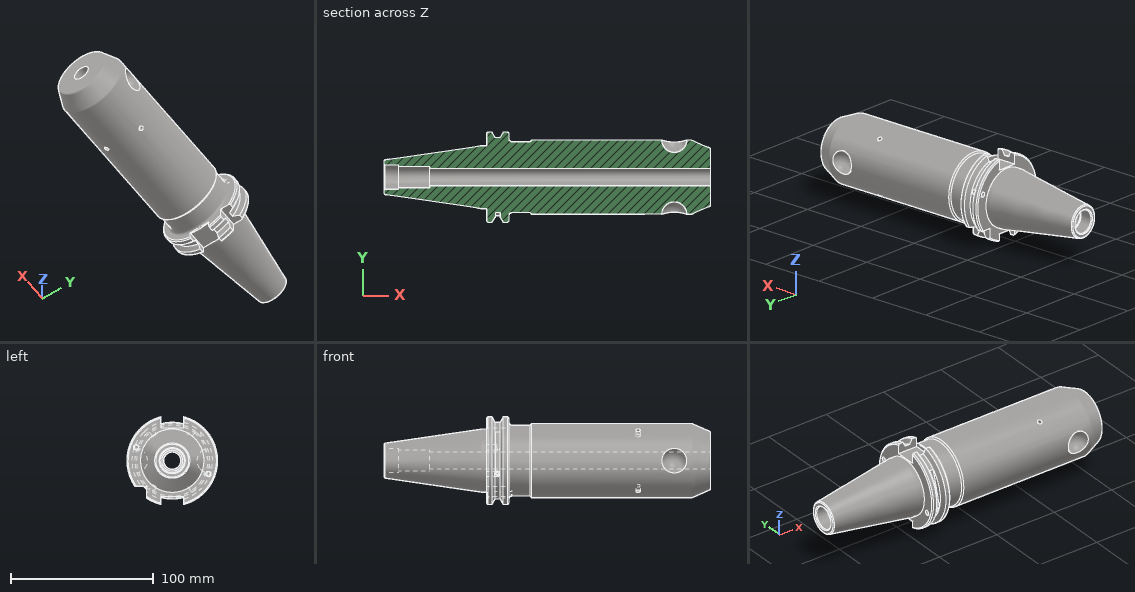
import cadquery as cq
import math


total_length = 228.5
taper_length = 68.3
taper_large_radius = 22.2
taper_ratio = 7 / 24
taper_small_radius = taper_large_radius - taper_length * taper_ratio / 2
taper_end_chamfer = 0.7
flange_start = 71.7
flange_end = 87.5
flange_radius = 31.7
flange_chamfer = 1.0
neck_radius = 25.0
neck_fillet = 2.0
body_start = 102.0
body_radius = 26.0
body_step = body_radius - neck_radius
nose_start = 215.4
nose_radius = 20.3
nose_fillet = 1.4

groove_center = 79.5
groove_floor_radius = 28.0
groove_floor_width = 3.7
groove_flank_angle = 30

through_radius = 6.0
thread_radius = 7.3
thread_depth = 32
rear_bore_radius = 8.5
rear_bore_depth = 10.0
rear_bore_chamfer = 0.7

slot_width = 16.0
upper_slot_floor = 22.8
lower_slot_floor = neck_radius
notch_offset = 18.0
flat_center = 79.7
flat_width = 3.2
flat_distance = 24.2
flat_tilt = 15

coolant_radius = 1.8
coolant_y = 25.4
coolant_z = 9.4
plug_radius = 1.4
plug_floor_radius = 24.0
jet_radius = 1.5
jet_x = 177.7
jet_depth = 4.5
jet_angle = 55
dimple_radius = 8.7
dimple_x = 203.0


def turned_outside():
    groove_half_floor = groove_floor_width / 2
    groove_depth = flange_radius - groove_floor_radius
    groove_half_top = groove_half_floor + groove_depth * math.tan(math.radians(groove_flank_angle))
    fillet_mid = neck_fillet * (1 - math.sqrt(0.5))
    profile = (
        cq.Workplane("XZ")
        .lineTo(0, taper_small_radius - taper_end_chamfer)
        .lineTo(taper_end_chamfer, taper_small_radius + taper_end_chamfer * taper_ratio / 2)
        .lineTo(taper_length, taper_large_radius)
        .lineTo(flange_start, taper_large_radius)
        .lineTo(flange_start, flange_radius - flange_chamfer)
        .lineTo(flange_start + flange_chamfer, flange_radius)
        .lineTo(groove_center - groove_half_top, flange_radius)
        .lineTo(groove_center - groove_half_floor, groove_floor_radius)
        .lineTo(groove_center + groove_half_floor, groove_floor_radius)
        .lineTo(groove_center + groove_half_top, flange_radius)
        .lineTo(flange_end - flange_chamfer, flange_radius)
        .lineTo(flange_end, flange_radius - flange_chamfer)
        .lineTo(flange_end, neck_radius + neck_fillet)
        .threePointArc(
            (flange_end + fillet_mid, neck_radius + fillet_mid),
            (flange_end + neck_fillet, neck_radius),
        )
        .lineTo(body_start, neck_radius)
        .lineTo(body_start + body_step, body_radius)
        .lineTo(nose_start, body_radius)
        .lineTo(total_length, nose_radius)
        .lineTo(total_length, 0)
        .close()
    )
    outside = profile.revolve(360, (0, 0, 0), (1, 0, 0))
    nose_edges = cq.selectors.BoxSelector(
        (nose_start - nose_fillet, -body_radius, -body_radius),
        (total_length + nose_fillet, body_radius, body_radius),
    )
    circles = outside.edges("%CIRCLE").edges(nose_edges)
    return circles.fillet(nose_fillet)


def axial_bores():
    through = cq.Workplane("YZ").circle(through_radius).extrude(total_length)
    thread = cq.Workplane("YZ").circle(thread_radius).extrude(thread_depth)
    rear_bore = cq.Workplane("YZ").circle(rear_bore_radius).extrude(rear_bore_depth)
    mouth = cq.Solid.makeCone(
        rear_bore_radius + rear_bore_chamfer, rear_bore_radius, rear_bore_chamfer,
        cq.Vector(0, 0, 0), cq.Vector(1, 0, 0),
    )
    return through.union(thread).union(rear_bore).union(cq.Workplane(mouth))


def flange_block(y_min, y_max, z_min, z_max, x_min=flange_start, x_max=flange_end):
    size = (x_max - x_min, y_max - y_min, z_max - z_min)
    return cq.Workplane("XY").box(*size, centered=False).translate((x_min, y_min, z_min))


def drive_slots():
    half = slot_width / 2
    upper = flange_block(-half, half, upper_slot_floor, flange_radius)
    lower = flange_block(-half, half, -flange_radius, -lower_slot_floor)
    return upper.union(lower)


def index_notch():
    return flange_block(notch_offset, flange_radius, -flange_radius, -notch_offset)


def groove_flat():
    half = flat_width / 2
    block = flange_block(
        -flange_radius, -flat_distance, -flange_radius, flange_radius,
        flat_center - half, flat_center + half,
    )
    return block.rotate((0, 0, 0), (1, 0, 0), -flat_tilt)


def radial_hole(x, angle, radius, inner, outer):
    """Round hole square to the axis; the angle runs from +Y toward +Z."""
    direction = cq.Vector(0, math.cos(math.radians(angle)), math.sin(math.radians(angle)))
    start = cq.Vector(x, 0, 0) + direction * inner
    return cq.Workplane(cq.Solid.makeCylinder(radius, outer - inner, start, direction))


result = turned_outside().cut(axial_bores())
result = result.cut(drive_slots()).cut(index_notch()).cut(groove_flat())

coolant_angle = math.degrees(math.atan2(coolant_z, coolant_y))
for side in (1, -1):
    coolant = (
        cq.Workplane("YZ", origin=(flange_start, 0, 0))
        .center(side * coolant_y, side * coolant_z)
        .circle(coolant_radius)
        .extrude(groove_center - flange_start)
    )
    plug_angle = coolant_angle + (0 if side > 0 else 180)
    plug = radial_hole(groove_center, plug_angle, plug_radius, plug_floor_radius, flange_radius)
    result = result.cut(coolant).cut(plug)

for angle in (jet_angle, 180 - jet_angle, 180 + jet_angle, -jet_angle):
    jet = radial_hole(jet_x, angle, jet_radius, body_radius - jet_depth, flange_radius)
    result = result.cut(jet)

for side in (1, -1):
    center = (dimple_x, side * body_radius, 0)
    result = result.cut(cq.Workplane("XY").sphere(dimple_radius).translate(center))